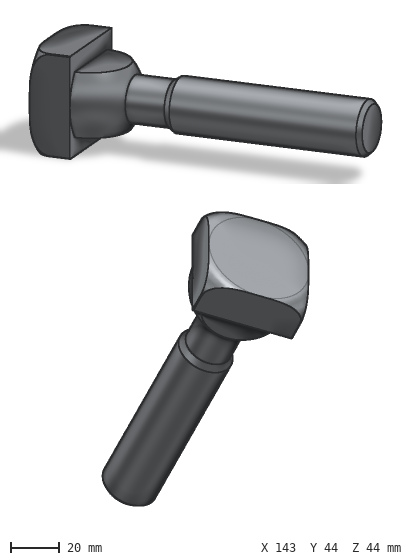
import cadquery as cq

total_length = 143.0
head_width = 44.0
head_thickness = 18.0
head_corner_radius = 30.9
ball_radius = head_width / 2
ball_flat_width = 28.0
shank_radius = 12.0
neck_radius = 10.2
neck_end = 54.9
neck_taper_length = 3.0
tip_chamfer_length = 2.0
tip_radius = neck_radius

head_edge_radius = head_corner_radius - head_width / 2


def make_head():
    """Square block with its corners trimmed by a disc rounded at the outer face."""
    block = cq.Workplane("YZ").rect(head_width, head_width).extrude(head_thickness)
    rounded_disc = (
        cq.Workplane("YZ")
        .circle(head_corner_radius)
        .extrude(head_thickness)
        .faces("<X")
        .edges()
        .fillet(head_edge_radius)
    )
    return block.intersect(rounded_disc)


def make_ball():
    """Half ball behind the head, cut flat on top and bottom."""
    ball = cq.Workplane("XY").sphere(ball_radius)
    slab = cq.Workplane("XY").box(
        ball_radius, head_width, ball_flat_width, centered=(False, True, True)
    )
    return ball.intersect(slab).translate((head_thickness, 0, 0))


def make_stem():
    """Neck, taper, shank and chamfered tip, turned about X."""
    return (
        cq.Workplane("XY")
        .moveTo(head_thickness, 0)
        .lineTo(head_thickness, neck_radius)
        .lineTo(neck_end, neck_radius)
        .lineTo(neck_end + neck_taper_length, shank_radius)
        .lineTo(total_length - tip_chamfer_length, shank_radius)
        .lineTo(total_length, tip_radius)
        .lineTo(total_length, 0)
        .close()
        .revolve(360, (0, 0, 0), (1, 0, 0))
    )


result = make_head().union(make_ball()).union(make_stem())